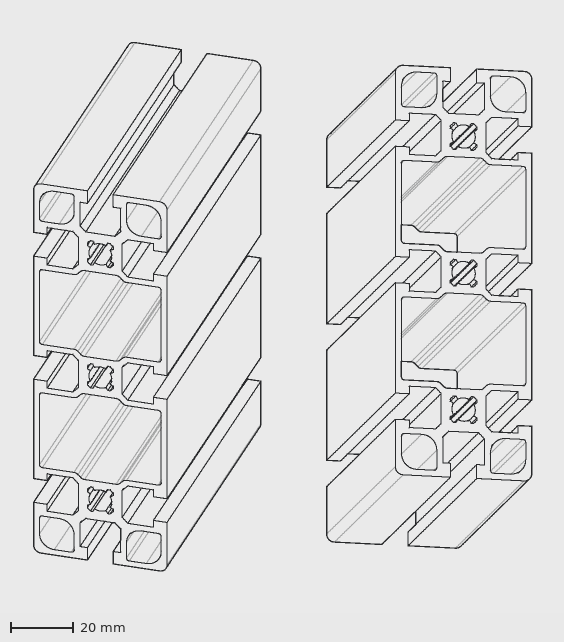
import cadquery as cq
import math

height = 135.0
length = 100.0
module_count = 3
pitch = height / module_count
width = pitch

wall = 2.0
outer_corner_radius = 2.5

slot_opening = 8.6
slot_inner_width = 13.6
lip_thickness = 4.6
slot_depth = 15.1
slot_floor_chamfer = 1.9

large_chamber_radius = 5.0
chamber_corner_radius = 1.0
step_height = 2.0
step_radius = 1.9
step_outer_x = 8.1

bore_diameter = 7.7
relief_square = 8.8
relief_chamfer = 1.1
relief_flank_angle = 30.0

module_centers = [(i - (module_count - 1) / 2) * pitch for i in range(module_count)]
chamber_half_width = width / 2 - wall


def prism(sketch):
    """Extrude an XZ sketch over the full length, centred on Y."""
    return sketch.extrude(length / 2, both=True)


def box(x_min, x_max, z_min, z_max):
    """Full-length rectangular prism between the given X and Z limits."""
    center = ((x_min + x_max) / 2, (z_min + z_max) / 2)
    return prism(cq.Workplane("XZ").center(*center).rect(x_max - x_min, z_max - z_min))


def turned(body, angle, z_center):
    """Turn a body about the Y axis, then lift it to a module centre."""
    return body.rotate((0, 0, 0), (0, 1, 0), angle).translate((0, 0, z_center))


def t_slot():
    """T-slot open towards +Z of a module centred on the origin."""
    face = width / 2
    opening = box(-slot_opening / 2, slot_opening / 2, face - slot_depth, face)
    inner = box(-slot_inner_width / 2, slot_inner_width / 2, face - slot_depth, face - lip_thickness)
    inner = inner.faces("<Z").edges("|Y").chamfer(slot_floor_chamfer)
    return inner.union(opening)


def corner_chamber():
    """Square chamber in the +X +Z corner, well rounded at its outermost and innermost corners."""
    near = slot_inner_width / 2 + wall
    far = chamber_half_width
    chamber = box(near, far, near, far)
    for x, z, radius in (
        (near, near, large_chamber_radius),
        (far, far, large_chamber_radius),
        (near, far, chamber_corner_radius),
        (far, near, chamber_corner_radius),
    ):
        corner_edge = cq.selectors.NearestToPointSelector((x, 0, z))
        chamber = chamber.edges("|Y").edges(corner_edge).fillet(radius)
    return chamber


def middle_chamber():
    """Wide chamber between two modules, stepped deeper next to both cores.

    Each step is a 45 degree slope, blended at both ends, beside a slot floor chamfer.
    """
    half_height = pitch / 2 - slot_inner_width / 2 - wall
    deep_half_height = half_height + step_height
    step_inner_x = step_outer_x - step_height

    right_profile = [
        (step_inner_x, deep_half_height),
        (step_outer_x, half_height),
        (chamber_half_width, half_height),
        (chamber_half_width, -half_height),
        (step_outer_x, -half_height),
        (step_inner_x, -deep_half_height),
    ]
    left_profile = [(-x, -z) for x, z in right_profile]
    chamber = prism(cq.Workplane("XZ").polyline(right_profile + left_profile).close())

    wall_corners = chamber.edges("<X or >X").edges("|Y")
    chamber = wall_corners.fillet(chamber_corner_radius)
    step_zone_x = (step_outer_x + chamber_half_width) / 2
    step_zone = cq.selectors.BoxSelector((-step_zone_x, -1.4, -pitch), (step_zone_x, 1.4, pitch))
    return chamber.edges("|Y").edges(step_zone).fillet(step_radius)


def core_bore():
    """Round bore with four corner reliefs, each bounded by two radial flanks."""
    square = prism(cq.Workplane("XZ").rect(relief_square, relief_square))
    square = square.edges("|Y").chamfer(relief_chamfer)
    bore = prism(cq.Workplane("XZ").circle(bore_diameter / 2))
    flank_rise = relief_square * math.tan(math.radians(relief_flank_angle))
    wedge_points = [
        (0, 0),
        (relief_square, flank_rise),
        (relief_square, relief_square),
        (flank_rise, relief_square),
    ]
    wedge = prism(cq.Workplane("XZ").polyline(wedge_points).close())
    relief = square.intersect(wedge)
    for quarter in range(4):
        bore = bore.union(turned(relief, 90 * quarter, 0))
    return bore


result = box(-width / 2, width / 2, -height / 2, height / 2).edges("|Y").fillet(outer_corner_radius)

for z_center in module_centers:
    result = result.cut(core_bore().translate((0, 0, z_center)))
    for angle in (90, -90):
        result = result.cut(turned(t_slot(), angle, z_center))

for z_center, end_angle in ((module_centers[-1], 0), (module_centers[0], 180)):
    result = result.cut(turned(t_slot(), end_angle, z_center))
    for corner_angle in (0, -90):
        result = result.cut(turned(corner_chamber(), end_angle + corner_angle, z_center))

for lower, upper in zip(module_centers, module_centers[1:]):
    result = result.cut(middle_chamber().translate((0, 0, (lower + upper) / 2)))